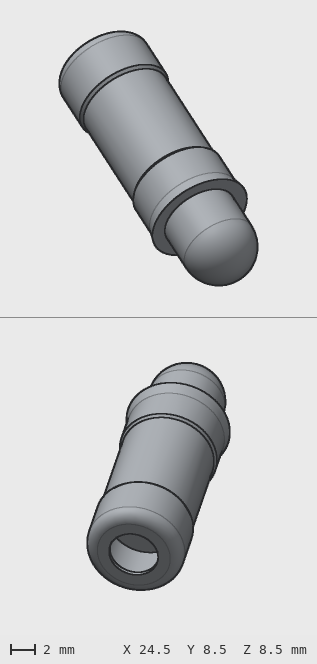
import cadquery as cq
import math

total_length = 24.5

body_radius = 4.0
waist_radius = 3.8
flare_diameter = 8.5
rear_rounding = 1.0
rear_band_end = 4.43
waist_start = 4.73
waist_end = 13.75
front_band_start = 14.0
flare_start = 16.9
flare_end = 17.95

rear_hole_radius = 2.0
rear_lip_thickness = 0.37

plunger_radius = 3.14
plunger_rear = waist_start
ball_start = total_length - plunger_radius


def make_housing():
    """Sleeve with a rounded rear lip, a waist and a flared mouth."""
    rounding_middle = rear_rounding * (1 - math.sqrt(0.5))
    outline = (
        cq.Workplane("XY")
        .moveTo(0, rear_hole_radius)
        .lineTo(0, body_radius - rear_rounding)
        .threePointArc(
            (rounding_middle, body_radius - rounding_middle),
            (rear_rounding, body_radius),
        )
        .lineTo(rear_band_end, body_radius)
        .lineTo(waist_start, waist_radius)
        .lineTo(waist_end, waist_radius)
        .lineTo(front_band_start, body_radius)
        .lineTo(flare_start, body_radius)
        .lineTo(flare_end, flare_diameter / 2)
        .lineTo(flare_end, plunger_radius)
        .lineTo(rear_lip_thickness, plunger_radius)
        .lineTo(rear_lip_thickness, rear_hole_radius)
        .close()
    )
    return outline.revolve(360, (0, 0, 0), (1, 0, 0))


def make_plunger():
    """Solid pin that fills the front of the bore and has a ball tip."""
    ball_diagonal = plunger_radius * math.sqrt(0.5)
    outline = (
        cq.Workplane("XY")
        .moveTo(plunger_rear, 0)
        .lineTo(plunger_rear, plunger_radius)
        .lineTo(ball_start, plunger_radius)
        .threePointArc((ball_start + ball_diagonal, ball_diagonal), (total_length, 0))
        .close()
    )
    return outline.revolve(360, (0, 0, 0), (1, 0, 0))


housing = make_housing()
plunger = make_plunger()

result = cq.Compound.makeCompound([housing.val(), plunger.val()])